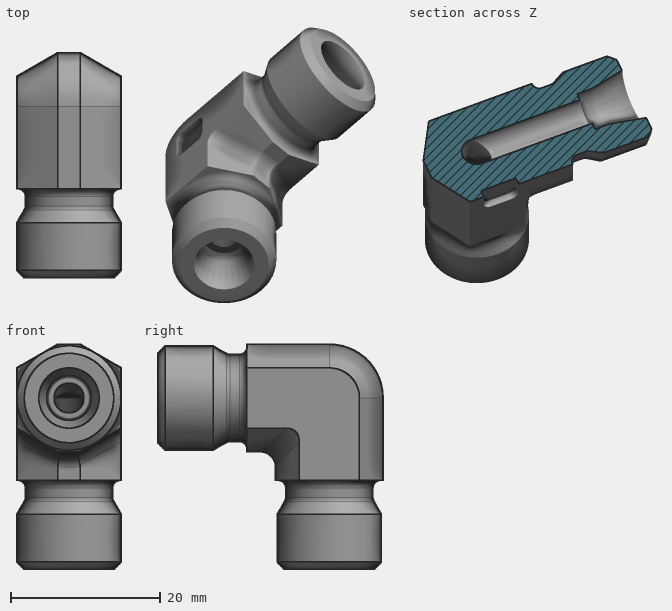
import cadquery as cq
import math


body_width = 14.0
crest_height = 7.22
body_reach = 11.05
inner_corner_radius = 2.0

stub_reach = 23.0
thread_radius = 14.0 / 2
neck_radius = 11.7 / 2
end_chamfer = 1.0
thread_start = 15.6
taper_angle = 30.0
neck_fillet = 1.0

tube_radius = 6.0 / 2
bore_radius = 4.0 / 2
mouth_radius = 8.1 / 2
mouth_half_angle = 12.0
socket_depth = 7.0
drill_point_angle = 118.0

recess_size = 5.0
recess_offset = -0.55
recess_corner_radius = 1.0
recess_depth = 1.0

half_width = body_width / 2
hexagon_tip = half_width / math.cos(math.radians(30))
side_half_height = hexagon_tip / 2


def along_y(leg):
    """Turn a leg lying along -Z about the X axis so that it lies along -Y."""
    return leg.rotate((0, 0, 0), (1, 0, 0), -90)


def make_hexagon_elbow():
    """Full hexagon swept around the elbow, with its concave mitre edges rounded."""
    upper_section = [
        (half_width, 0),
        (half_width, side_half_height),
        (0, hexagon_tip),
        (-half_width, side_half_height),
        (-half_width, 0),
    ]
    lower_section = [
        (-half_width, -side_half_height),
        (0, -hexagon_tip),
        (half_width, -side_half_height),
    ]
    leg = cq.Workplane("XY").polyline(upper_section + lower_section).close().extrude(-body_reach)
    bend = cq.Workplane("XZ").polyline(upper_section).close().revolve(90, (0, 0, 0), (-1, 0, 0))
    elbow = leg.union(along_y(leg)).union(bend)
    mitre_centre = (side_half_height + hexagon_tip) / 2
    box_top = -(side_half_height + mitre_centre) / 2
    mitre_box = cq.selectors.BoxSelector(
        (-half_width, -hexagon_tip, -hexagon_tip),
        (half_width, box_top, box_top),
    )
    return elbow.edges(mitre_box).fillet(inner_corner_radius)


def make_crest_envelope():
    """Elbow-shaped plate whose rim cuts the hexagon corners flat."""
    bend_middle = crest_height * math.sin(math.radians(45))
    plate = (
        cq.Workplane("YZ")
        .moveTo(crest_height, 0)
        .threePointArc((bend_middle, bend_middle), (0, crest_height))
        .lineTo(-body_reach, crest_height)
        .lineTo(-body_reach, -crest_height)
        .lineTo(-crest_height, -crest_height)
        .lineTo(-crest_height, -body_reach)
        .lineTo(crest_height, -body_reach)
        .close()
        .extrude(half_width, both=True)
    )
    inner_edge = cq.selectors.NearestToPointSelector((0, -crest_height, -crest_height))
    return plate.edges("|X").edges(inner_edge).fillet(inner_corner_radius)


def make_body():
    """Hexagonal elbow with flat crests along its outer and inner sides."""
    return make_hexagon_elbow().intersect(make_crest_envelope())


def make_stub():
    """Threaded stub along -Z: filleted neck, taper, thread diameter and end chamfer."""
    taper = math.radians(taper_angle)
    neck_end = thread_start - (thread_radius - neck_radius) / math.tan(taper)
    tangent = neck_fillet * math.tan(taper / 2)
    arc_middle = (
        neck_radius + neck_fillet * (1 - math.cos(taper / 2)),
        -(neck_end - tangent + neck_fillet * math.sin(taper / 2)),
    )
    arc_end = (
        neck_radius + tangent * math.sin(taper),
        -(neck_end + tangent * math.cos(taper)),
    )
    return (
        cq.Workplane("XZ")
        .moveTo(0, -body_reach)
        .lineTo(neck_radius + neck_fillet, -body_reach)
        .radiusArc((neck_radius, -(body_reach + neck_fillet)), -neck_fillet)
        .lineTo(neck_radius, -(neck_end - tangent))
        .threePointArc(arc_middle, arc_end)
        .lineTo(thread_radius, -thread_start)
        .lineTo(thread_radius, -(stub_reach - end_chamfer))
        .lineTo(thread_radius - end_chamfer, -stub_reach)
        .lineTo(0, -stub_reach)
        .close()
        .revolve(360, (0, 0, 0), (0, 1, 0))
    )


def make_bore():
    """Bore along -Z: drill point, through bore, tube socket and conical mouth."""
    point_height = bore_radius / math.tan(math.radians(drill_point_angle / 2))
    mouth_length = (mouth_radius - tube_radius) / math.tan(math.radians(mouth_half_angle))
    tube_stop = stub_reach - socket_depth
    return (
        cq.Workplane("XZ")
        .polyline([
            (0, point_height),
            (bore_radius, 0),
            (bore_radius, -tube_stop),
            (tube_radius, -tube_stop),
            (tube_radius, -(stub_reach - mouth_length)),
            (mouth_radius, -stub_reach),
            (0, -stub_reach),
        ])
        .close()
        .revolve(360, (0, 0, 0), (0, 1, 0))
    )


def make_recess():
    """Rounded square pocket cut into the -X flat."""
    return (
        cq.Workplane("YZ")
        .workplane(offset=-half_width)
        .center(recess_offset, recess_offset)
        .rect(recess_size, recess_size)
        .extrude(recess_depth)
        .edges("|X")
        .fillet(recess_corner_radius)
    )


stub = make_stub()
bore = make_bore()

result = (
    make_body()
    .union(stub)
    .union(along_y(stub))
    .cut(bore)
    .cut(along_y(bore))
    .cut(make_recess())
)